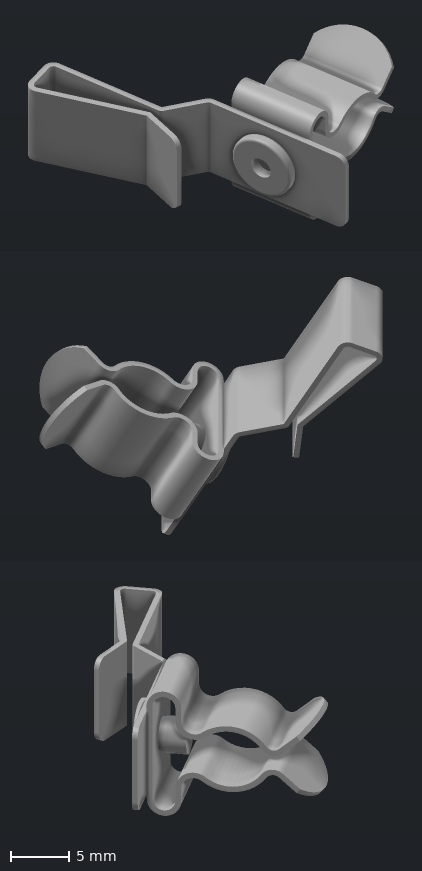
import cadquery as cq
import math


sheet = 0.5
strip_width = 8.0

clip_length = 28.5
plate_end_x = 8.05
plate_length = 13.8
step_angle = 49.0
step_drop = 3.28
end_wall_length = 2.3
clip_bend = 0.43
step_bend = 0.1
spring_angle = 14.5
spring_length = 10.17
lip_angle = 21.0
lip_length = 4.47
clip_corner = 1.0

clamp_height = 11.8
loop_bend = 1.0
loop_leg = 1.17
waist_bend = 1.15
waist_rise = 37.0
grip_radius = 3.5
grip_fall = 53.6
throat_bend = 0.77
flare_angle = 41.0
flare_length = 4.05
tip_radius = 4.95

head_diameter = 5.98
head_height = 1.0
head_fillet = 0.25
socket_diameter = 2.0
shank_diameter = 3.0
tail_diameter = 3.25
tail_start = 1.2
tail_end = 3.0


def polar(distance, angle):
    """Vector of the given length at an angle in degrees."""
    turn = math.radians(angle)
    return cq.Vector(distance * math.cos(turn), distance * math.sin(turn))


def straight(length):
    return ("straight", length, 0)


def bend(angle, inner_radius):
    """Rounded bend, turning left for a positive angle."""
    return ("bend", angle, inner_radius)


def fold(angle):
    """Sharp mitred bend after a straight, turning left for a positive angle."""
    return ("fold", angle, 0)


def bent_strip(plane, start, heading, moves):
    """Extrude a sheet whose middle line follows the moves; also return its end point and heading."""
    half = sheet / 2
    middle = start
    offsets = (half, -half)
    sides = [[(None, middle + polar(offset, heading + 90))] for offset in offsets]

    for kind, amount, inner_radius in moves:
        if kind == "straight":
            middle = middle + polar(amount, heading)
            for side, offset in zip(sides, offsets):
                side.append((None, middle + polar(offset, heading + 90)))
        elif kind == "fold":
            heading += amount
            mitre = half / math.cos(math.radians(amount / 2))
            for side, sign in zip(sides, (1, -1)):
                side[-1] = (None, middle + polar(sign * mitre, heading - amount / 2 + 90))
        else:
            reach = math.copysign(inner_radius + half, amount)
            center = middle + polar(reach, heading + 90)
            for side, offset in zip(sides, offsets):
                radius = offset - reach
                arc_middle = center + polar(radius, heading + amount / 2 + 90)
                side.append((arc_middle, center + polar(radius, heading + amount + 90)))
            heading += amount
            middle = center - polar(reach, heading + 90)

    left, right = sides
    outline = cq.Workplane(plane).moveTo(*left[0][1].toTuple()[:2])
    for arc_middle, end in left[1:]:
        outline = add_edge(outline, arc_middle, end)
    outline = add_edge(outline, None, right[-1][1])
    for (arc_middle, _), (_, end) in zip(right[:0:-1], right[-2::-1]):
        outline = add_edge(outline, arc_middle, end)
    strip = outline.close().extrude(strip_width / 2, both=True)
    return strip, middle, heading


def add_edge(outline, arc_middle, end):
    """Continue an outline to a point, by an arc when an arc midpoint is given."""
    if arc_middle is None:
        return outline.lineTo(end.x, end.y)
    return outline.threePointArc((arc_middle.x, arc_middle.y), (end.x, end.y))


def shank_hole():
    """Cylinder that clears the rivet shank through both sheets."""
    return cq.Workplane("XZ").circle(shank_diameter / 2).extrude(sheet, both=True)


def make_clip():
    step_turn = math.radians(step_angle)
    bend_drop = (clip_bend + step_bend + sheet) * (1 - math.cos(step_turn))
    step_length = (step_drop - bend_drop) / math.sin(step_turn)
    step_run = step_length * math.cos(step_turn)
    bend_run = (clip_bend + step_bend + sheet) * math.sin(step_turn)
    back_length = clip_length - plate_length - step_run - bend_run - clip_bend - sheet
    moves = [
        straight(plate_length),
        bend(step_angle, clip_bend),
        straight(step_length),
        bend(-step_angle, step_bend),
        straight(back_length),
        bend(90, clip_bend),
        straight(end_wall_length),
        bend(90 + spring_angle, clip_bend),
        straight(spring_length),
        fold(-spring_angle - lip_angle),
        straight(lip_length),
    ]
    clip, _, lip_heading = bent_strip("XY", cq.Vector(plate_end_x, -sheet / 2), 180, moves)
    lip_corners = cq.selectors.ParallelDirSelector(polar(1, lip_heading + 90))
    clip = clip.edges(lip_corners).fillet(clip_corner)
    clip = clip.edges("|Y and >X").fillet(clip_corner)
    return clip.cut(shank_hole())


def tip_cutter(tip, heading):
    """Material beyond the rounded outline of an arm tip, square to the flared sheet."""
    half_width = strip_width / 2
    sagitta = tip_radius - math.sqrt(tip_radius**2 - half_width**2)
    normal = polar(1, heading + 90)
    plane = cq.Plane(origin=(0, tip.x, tip.y), xDir=(1, 0, 0), normal=(0, normal.x, normal.y))
    return (
        cq.Workplane(plane)
        .moveTo(-half_width, -sagitta)
        .threePointArc((0, 0), (half_width, -sagitta))
        .lineTo(half_width, sagitta)
        .lineTo(-half_width, sagitta)
        .close()
        .extrude(sheet, both=True)
    )


def make_clamp():
    base_length = clamp_height / 2 - loop_bend - sheet
    moves = [
        straight(base_length),
        bend(-180, loop_bend),
        straight(loop_leg),
        bend(90 + waist_rise, waist_bend),
        bend(-waist_rise - grip_fall, grip_radius),
        bend(grip_fall + flare_angle, throat_bend),
        straight(flare_length),
    ]
    arm, tip, heading = bent_strip("YZ", cq.Vector(sheet / 2, 0), 90, moves)
    arm = arm.cut(tip_cutter(tip, heading))
    return arm.union(arm.mirror("XY")).cut(shank_hole())


def make_rivet():
    shank = shank_diameter / 2
    tail = tail_diameter / 2
    swell_length = tail_start - sheet
    swell_step = tail - shank
    swell_radius = (swell_length**2 + swell_step**2) / (2 * swell_step)
    swell_middle = tail - swell_radius + math.sqrt(swell_radius**2 - swell_length**2 / 4)
    body = (
        cq.Workplane("XY")
        .moveTo(0, -sheet)
        .lineTo(shank, -sheet)
        .lineTo(shank, sheet)
        .threePointArc((swell_middle, tail_start - swell_length / 2), (tail, tail_start))
        .lineTo(tail, tail_end)
        .lineTo(0, tail_end)
        .close()
        .revolve(360, (0, 0), (0, 1))
    )
    head = (
        cq.Workplane("XZ", origin=(0, -sheet, 0))
        .circle(head_diameter / 2)
        .circle(socket_diameter / 2)
        .extrude(head_height)
        .edges(cq.selectors.RadiusNthSelector(-1))
        .fillet(head_fillet)
    )
    return body.union(head)


clip = make_clip()
clamp = make_clamp()
rivet = make_rivet()

result = cq.Compound.makeCompound([body.solids().val() for body in (clip, clamp, rivet)])